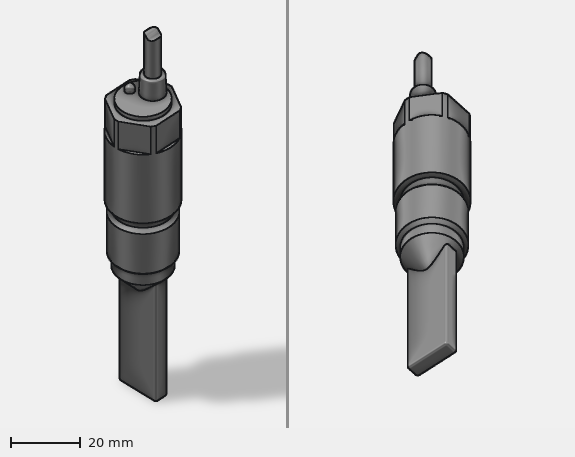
import cadquery as cq

TOTAL_HEIGHT = 129.0
NOSE_BASE_Z = 45.4
COLLAR_BOTTOM_Z = 49.4
COLLAR_TOP_Z = 66.5
SLEEVE_BOTTOM_Z = 69.8
HEX_BOTTOM_Z = 95.0
HEX_TOP_Z = 105.2
CAP_TOP_Z = 106.8
BOOT_TOP_Z = 113.8

SLEEVE_DIAMETER = 22.2
COLLAR_DIAMETER = 20.9
NECK_DIAMETER = 18.3
CAP_DIAMETER = 16.5
COLLAR_CHAMFER_HEIGHT = 1.3
HEX_ACROSS_FLATS = 20.0

NOSE_TIP_RADIUS = 2.5
NOSE_LENGTH = 7.7
BLADE_WIDTH = 15.2
BLADE_THICKNESS = 5.0
BLADE_EDGE_RADIUS = 1.0

CABLE_Y = 4.0
CABLE_DIAMETER = 5.0
BOOT_BOTTOM_DIAMETER = 8.0
BOOT_TOP_DIAMETER = 7.5
BOOT_EDGE_RADIUS = 0.6
CABLE_WAVE_HEIGHT = 0.6

LAMP_X = -5.3
LAMP_DIAMETER = 3.1
LAMP_HEIGHT = 2.5


def cylinder(diameter, bottom, top, x=0, y=0):
    """Upright cylinder between two heights."""
    return cq.Workplane("XY", origin=(x, y, bottom)).circle(diameter / 2).extrude(top - bottom)


def make_body():
    """Turned profile from the nose to the cap."""
    neck = NECK_DIAMETER / 2
    collar = COLLAR_DIAMETER / 2
    sleeve = SLEEVE_DIAMETER / 2
    cap = CAP_DIAMETER / 2
    profile = [
        (0, NOSE_BASE_Z - NOSE_LENGTH),
        (NOSE_TIP_RADIUS, NOSE_BASE_Z - NOSE_LENGTH),
        (neck, NOSE_BASE_Z),
        (neck, COLLAR_BOTTOM_Z),
        (collar, COLLAR_BOTTOM_Z + COLLAR_CHAMFER_HEIGHT),
        (collar, COLLAR_TOP_Z - COLLAR_CHAMFER_HEIGHT),
        (neck, COLLAR_TOP_Z),
        (neck, SLEEVE_BOTTOM_Z),
        (sleeve, SLEEVE_BOTTOM_Z),
        (sleeve, HEX_TOP_Z),
        (cap, HEX_TOP_Z),
        (cap, CAP_TOP_Z),
        (0, CAP_TOP_Z),
    ]
    return cq.Workplane("XZ").polyline(profile).close().revolve(360, (0, 0, 0), (0, 1, 0))


def cut_wrench_flats(body):
    """Six flats around the sleeve top, one pair facing along X."""
    depth = (SLEEVE_DIAMETER - HEX_ACROSS_FLATS) / 2
    height = HEX_TOP_Z - HEX_BOTTOM_Z
    for index in range(6):
        cutter = (
            cq.Workplane("XY", origin=(0, 0, HEX_BOTTOM_Z))
            .center(HEX_ACROSS_FLATS / 2 + depth / 2, 0)
            .rect(depth, SLEEVE_DIAMETER)
            .extrude(height)
            .rotate((0, 0, 0), (0, 0, 1), index * 60)
        )
        body = body.cut(cutter)
    return body


def make_blade():
    """Flat sensing blade with rounded long edges and tip, running up into the nose."""
    return (
        cq.Workplane("XY")
        .rect(BLADE_WIDTH, BLADE_THICKNESS)
        .extrude(NOSE_BASE_Z)
        .edges("|Z or <Z")
        .fillet(BLADE_EDGE_RADIUS)
    )


def make_boot():
    """Tapered boot with a rounded top rim."""
    return (
        cq.Workplane("XY", origin=(0, CABLE_Y, CAP_TOP_Z))
        .circle(BOOT_BOTTOM_DIAMETER / 2)
        .workplane(offset=BOOT_TOP_Z - CAP_TOP_Z)
        .circle(BOOT_TOP_DIAMETER / 2)
        .loft()
        .faces(">Z")
        .edges()
        .fillet(BOOT_EDGE_RADIUS)
    )


def make_cable():
    """Cable stub whose end is a wave: a crest on the -X half and a trough on the +X half."""
    radius = CABLE_DIAMETER / 2
    middle = TOTAL_HEIGHT - CABLE_WAVE_HEIGHT
    envelope = (
        cq.Workplane("XZ", origin=(0, CABLE_Y, 0))
        .moveTo(-radius, CAP_TOP_Z)
        .lineTo(-radius, middle)
        .threePointArc((-radius / 2, TOTAL_HEIGHT), (0, middle))
        .threePointArc((radius / 2, middle - CABLE_WAVE_HEIGHT), (radius, middle))
        .lineTo(radius, CAP_TOP_Z)
        .close()
        .extrude(radius, both=True)
    )
    return cylinder(CABLE_DIAMETER, CAP_TOP_Z, TOTAL_HEIGHT, y=CABLE_Y).intersect(envelope)


def make_lamp():
    """Short round lamp with a domed top."""
    radius = LAMP_DIAMETER / 2
    dome_base = CAP_TOP_Z + LAMP_HEIGHT - radius
    barrel = cylinder(LAMP_DIAMETER, CAP_TOP_Z, dome_base, x=LAMP_X)
    dome = cq.Workplane("XY", origin=(LAMP_X, 0, dome_base)).sphere(radius, angle1=0)
    return barrel.union(dome)


result = (
    cut_wrench_flats(make_body())
    .union(make_blade())
    .union(make_boot())
    .union(make_cable())
    .union(make_lamp())
)